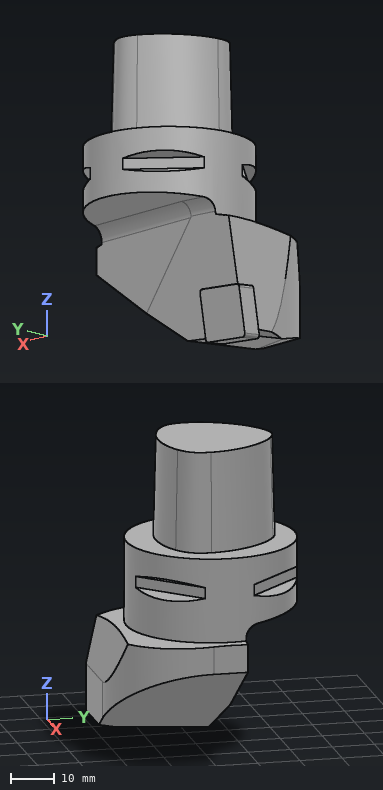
import cadquery as cq
import math


shank_height = 23.9
shank_mean_radius = 14.05
lobe_height = 1.0
taper = 1 / 40
face_angle = 60

flange_radius = 40.0 / 2
flange_height = 20.05
slot_z = -8.15
slot_floor_height = 2.6
slot_mouth_height = 5.0
slot_depth = 2.4

head_radius = 21.45
head_front = -25.75
arc_center_y = head_front + head_radius
head_back = 3.85
front_corner_x = -16.35
side_arc_middle = (-21.7, -18.2)
side_arc_end = (-25.5, -4.7)
side_limit_x = -26.65
head_floor = -51.8
cone_slope = 0.25
cone_outer_radius = 44.4

side_point, side_normal = (-23.75, 2.2, -21.0), (-1, -0.11, 0.09)
front_point, front_normal = (0, head_front, -33.1), (0, -1, 0.29)
back_angle_point, back_angle_normal = (-23.8, 2.3, -21.0), (-0.12, 1, -0.095)
diagonal_point, diagonal_normal = (head_radius, 0, -27.1), (0.7, 0, -1)
toe_point, toe_normal = (0, head_front, -44.4), (0, -0.29, -1)
bottom_point, bottom_normal = (-23.45, -14.7, -47.65), (0.08, -0.092, -1)
heel_point, heel_normal = (-24.4, -11.55, -47.15), (-1, -0.15, -0.7)

ceiling_point, ceiling_normal = (0, flange_radius, -15.2), (0, -0.083, 1)
clearance_fillet = 3.3

insert_side = 12.7
insert_corner_angle = 82.0
insert_thickness = 4.7
insert_corner_radius = 0.8
insert_tip = (-27.1, 0.1, -50.2)
insert_edge_direction = (1, 0.09, 0.06)
rake_normal = (-0.08, 1, -0.09)

block_size = 148.0


def outside(point, normal):
    """Large block lying on the outer side of a plane."""
    plane = cq.Plane(origin=point, normal=normal)
    return cq.Workplane(plane).box(block_size, block_size, block_size, centered=(True, True, False))


def polygon_point(degrees, mean_radius):
    """Point of the three-lobed outline whose outward normal has the given angle."""
    angle = math.radians(degrees)
    lobe_phase = 3 * (angle - math.pi / 2)
    reach = mean_radius + lobe_height * math.cos(lobe_phase)
    reach_rate = -3 * lobe_height * math.sin(lobe_phase)
    x = reach * math.cos(angle) - reach_rate * math.sin(angle)
    y = reach * math.sin(angle) + reach_rate * math.cos(angle)
    return x, y


def polygon_wire(mean_radius, z):
    edges = []
    for start in range(0, 360, face_angle):
        points = []
        for step in range(0, face_angle + 1, 10):
            x, y = polygon_point(start + step, mean_radius)
            points.append(cq.Vector(x, y, z))
        edges.append(cq.Edge.makeSpline(points))
    return cq.Wire.assembleEdges(edges)


def make_shank():
    base = polygon_wire(shank_mean_radius, 0)
    top = polygon_wire(shank_mean_radius - taper * shank_height, shank_height)
    return cq.Workplane(cq.Solid.makeLoft([base, top], True))


def make_gripper_slot(angle):
    floor = flange_radius - slot_depth
    slope = (slot_mouth_height - slot_floor_height) / (2 * slot_depth)
    clear = 2 * flange_radius
    half_floor = slot_floor_height / 2
    half_clear = half_floor + slope * (clear - floor)
    section = [
        (floor, slot_z - half_floor),
        (clear, slot_z - half_clear),
        (clear, slot_z + half_clear),
        (floor, slot_z + half_floor),
    ]
    slot = cq.Workplane("XZ").polyline(section).close().extrude(flange_radius, both=True)
    return slot.rotate((0, 0, 0), (0, 0, 1), angle)


def make_flange():
    flange = cq.Workplane("XY").circle(flange_radius).extrude(-flange_height)
    for angle in (45, 135, 225, 315):
        flange = flange.cut(make_gripper_slot(angle))
    return flange


def make_head():
    diagonal = head_radius * math.sqrt(0.5)
    head = (
        cq.Workplane("XY")
        .workplane(offset=-flange_height)
        .moveTo(head_radius, head_back)
        .lineTo(head_radius, arc_center_y)
        .threePointArc((diagonal, arc_center_y - diagonal), (0, head_front))
        .lineTo(front_corner_x, head_front)
        .threePointArc(side_arc_middle, side_arc_end)
        .lineTo(side_limit_x, head_back)
        .close()
        .extrude(head_floor + flange_height)
    )
    cone_drop = cone_slope * (cone_outer_radius - flange_radius)
    cone = (
        cq.Workplane("XZ")
        .polyline([
            (0, -flange_height),
            (flange_radius, -flange_height),
            (cone_outer_radius, -flange_height - cone_drop),
            (cone_outer_radius, head_floor),
            (0, head_floor),
        ])
        .close()
        .revolve(360, (0, 0, 0), (0, 1, 0))
    )
    head = head.intersect(cone)
    head = head.cut(outside(side_point, side_normal))
    head = head.cut(outside(front_point, front_normal))
    head = head.cut(outside(diagonal_point, diagonal_normal))
    head = head.cut(outside(toe_point, toe_normal))
    head = head.cut(outside(bottom_point, bottom_normal))
    return head.cut(outside(heel_point, heel_normal))


def make_back_clearance():
    """Space behind the head, rounded where it meets the sloping ceiling under the flange."""
    ceiling = outside(ceiling_point, ceiling_normal)
    behind_flat = outside((0, head_back, 0), (0, 1, 0)).cut(ceiling)
    behind_angle = outside(back_angle_point, back_angle_normal).cut(ceiling)
    ceiling_edge = cq.selectors.BoxSelector(
        (-block_size, -block_size, slot_z - flange_height),
        (block_size, flange_radius, slot_z),
    )
    behind_flat = behind_flat.edges("|X").edges(ceiling_edge).fillet(clearance_fillet)
    behind_angle = behind_angle.edges(ceiling_edge).fillet(clearance_fillet)
    return behind_flat, behind_angle


def make_insert():
    plane = cq.Plane(origin=insert_tip, xDir=insert_edge_direction, normal=rake_normal)
    angle = math.radians(insert_corner_angle)
    lean = insert_side * math.cos(angle)
    rise = insert_side * math.sin(angle)
    outline = [(0, 0), (insert_side, 0), (insert_side + lean, -rise), (lean, -rise)]
    return (
        cq.Workplane(plane)
        .polyline(outline)
        .close()
        .extrude(-insert_thickness)
        .edges(cq.selectors.ParallelDirSelector(plane.zDir))
        .fillet(insert_corner_radius)
    )


insert = make_insert().solids()
holder = make_flange().union(make_head())
for clearance in make_back_clearance():
    holder = holder.cut(clearance)
holder = holder.union(make_shank()).cut(insert).solids()

result = cq.Compound.makeCompound([holder.val(), insert.val()])